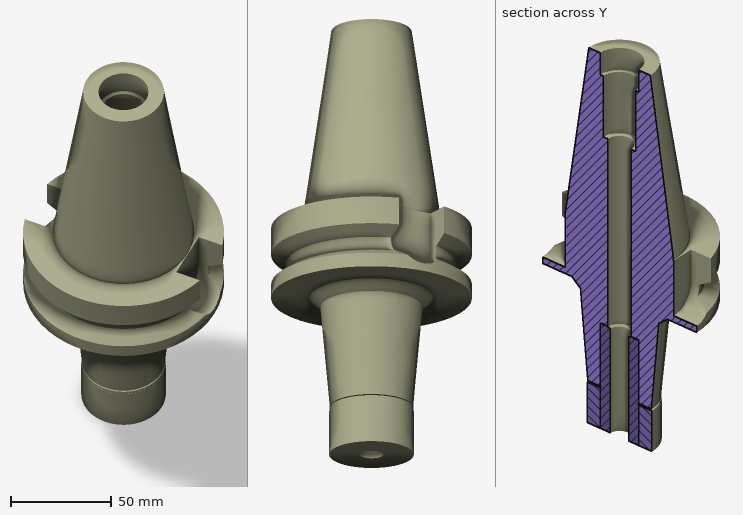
import cadquery as cq

total_height = 221.8

taper_top_diameter = 40.1
taper_top_radius = taper_top_diameter / 2
taper_base_radius = 35.0
taper_base_height = 120.0

flange_diameter = 100.0
flange_radius = flange_diameter / 2
flange_top = 118.7
flange_bottom = 82.0
groove_floor_radius = 42.5
groove_middle = 97.0
groove_floor_width = 6.2
groove_mouth_width = 15.5

slot_width = 26.2
slot_floor_distance = 35.3
slot_bottom = 86.0

shoulder_radius = 31.0
nose_top_radius = 25.5
nose_top = 77.5
nose_end_diameter = 41.5
nose_end_radius = nose_end_diameter / 2
nose_end = 24.8

entry_radius = 12.5
entry_depth = 12.9
thread_radius = 10.5
thread_depth = 48.8
bore_radius = 7.5

nut_radius = 21.0
collar_step = 0.07
nut_collar_radius = nut_radius - collar_step
nut_collar_length = 1.5
nut_gap = 0.7
nut_top = nose_end - nut_gap

collet_radius = 12.5
collet_length = 62.0
collet_bore_diameter = 11.8
collet_bore_radius = collet_bore_diameter / 2
collet_bore_chamfer = 0.7


def cylinder(radius, bottom, top):
    return cq.Workplane("XY", origin=(0, 0, bottom)).circle(radius).extrude(top - bottom)


def revolve_about_z(profile):
    return cq.Workplane("XZ").polyline(profile).close().revolve(360, (0, 0), (0, 1))


def make_holder_blank():
    half_floor = groove_floor_width / 2
    half_mouth = groove_mouth_width / 2
    return revolve_about_z([
        (0, nose_end),
        (nose_end_radius, nose_end),
        (nose_top_radius, nose_top),
        (shoulder_radius, flange_bottom),
        (flange_radius, flange_bottom),
        (flange_radius, groove_middle - half_mouth),
        (groove_floor_radius, groove_middle - half_floor),
        (groove_floor_radius, groove_middle + half_floor),
        (flange_radius, groove_middle + half_mouth),
        (flange_radius, flange_top),
        (taper_base_radius, flange_top),
        (taper_base_radius, taper_base_height),
        (taper_top_radius, total_height),
        (0, total_height),
    ])


def make_drive_slot(side):
    half_width = slot_width / 2
    arc_centre = slot_bottom + half_width
    return (
        cq.Workplane("YZ", origin=(side * slot_floor_distance, 0, 0))
        .moveTo(-half_width, flange_top)
        .lineTo(-half_width, arc_centre)
        .threePointArc((0, slot_bottom), (half_width, arc_centre))
        .lineTo(half_width, flange_top)
        .close()
        .extrude(side * flange_radius)
    )


def make_holder_bore():
    """Stepped bore from the top face down to the collet, with the collet seat below it."""
    entry_floor = total_height - entry_depth
    thread_end = total_height - thread_depth
    return revolve_about_z([
        (0, nose_end),
        (collet_radius, nose_end),
        (collet_radius, collet_length),
        (bore_radius, collet_length),
        (bore_radius, thread_end),
        (thread_radius, thread_end),
        (thread_radius, entry_floor),
        (entry_radius, entry_floor),
        (entry_radius, total_height),
        (0, total_height),
    ])


def make_holder():
    holder = make_holder_blank().cut(make_holder_bore())
    for side in (-1, 1):
        holder = holder.cut(make_drive_slot(side))
    return holder


def make_nut():
    collar_bottom = nut_top - nut_collar_length
    nut = cylinder(nut_radius, 0, collar_bottom)
    nut = nut.union(cylinder(nut_collar_radius, collar_bottom, nut_top))
    return nut.cut(cylinder(collet_radius, 0, nut_top))


def make_collet():
    bore = cylinder(collet_bore_radius, 0, collet_length)
    collet = cylinder(collet_radius, 0, collet_length).cut(bore)
    mouth_edge = cq.selectors.RadiusNthSelector(0)
    return collet.faces(">Z").edges(mouth_edge).chamfer(collet_bore_chamfer)


holder = make_holder()
nut = make_nut()
collet = make_collet()

result = cq.Compound.makeCompound([holder.val(), nut.val(), collet.val()])